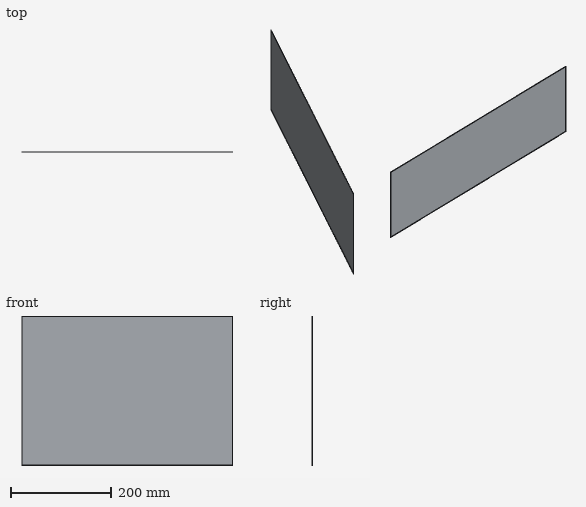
import cadquery as cq

sheet_width = 420.0
sheet_thickness = 0.2
sheet_height = 297.0

result = cq.Workplane("XY").box(sheet_width, sheet_thickness, sheet_height)